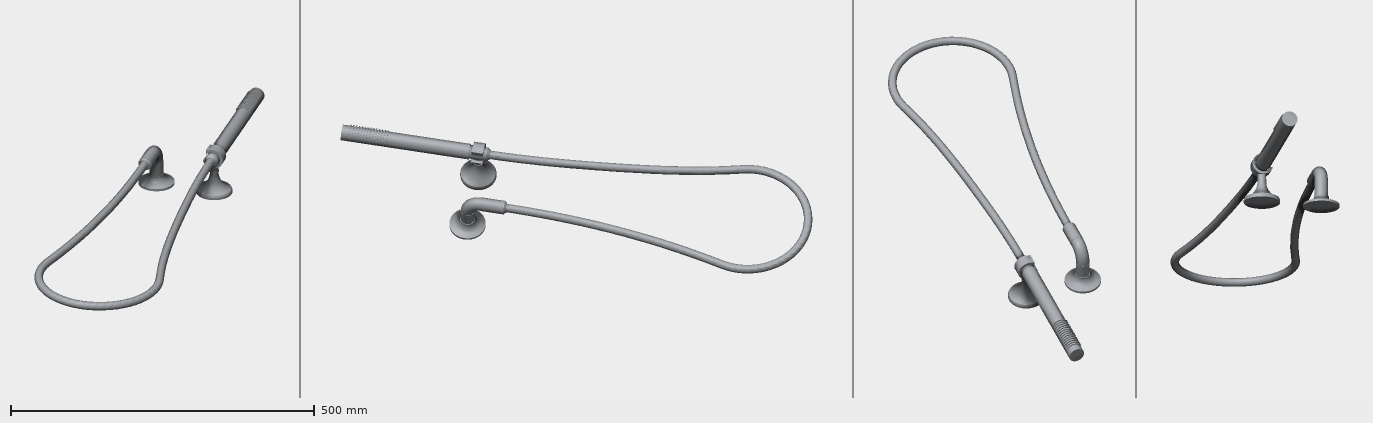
import cadquery as cq
import math

overall_width = 213.55
overall_length = 795.28
overall_height = 82.67

post_spacing = 100.0
post_x = post_spacing / 2
flange_radius = 30.0
flange_rim_height = 4.0

elbow_axis_z = 66.6
bend_radius = 24.0
bend_tube_radius = 11.0
elbow_tube_radius = 11.3
elbow_collar_length = 7.0
elbow_base_height = 18.0
base_step_radius = 20.6
base_step_height = 6.5
base_neck_height = 15.5
base_waist = (15.0, 10.2)
base_top_radius = 12.35

connector_length = 31.0
connector_nose_length = 3.0
connector_nose_radius = 8.25
connector_shoulder_step = 1.0
connector_start_y = -bend_radius - elbow_collar_length
connector_shoulder_y = connector_start_y - connector_length
connector_end_y = connector_shoulder_y - connector_nose_length

wand_axis_z = 65.2
wand_radius = 13.0
wand_tip_y = 228.4
wand_shoulder_y = 14.5
wand_neck_radius = 11.3
wand_neck_end_y = -14.5
wand_nose_end_y = -20.0
wand_nose_radius = 8.0

rib_count = 14
rib_pitch = 4.8
rib_width = 1.6
rib_height = 2.0
rib_first_offset = 12.0
rib_base_above_axis = 7.5

holder_post_height = 38.0
bell_top_height = 36.5
bell_foot_height = 7.0
holder_stem_radius = 7.2
bell_radius = 31.0
clamp_outer_radius = overall_height - wand_axis_z
clamp_bore_radius = 13.0
clamp_length = 19.0
clamp_stub_radius = 7.0
clamp_collar_radius = 8.0
clamp_collar_height = 2.0
clamp_upper_jaw_x = 10.8
clamp_lower_jaw_drop = 5.0
jaw_lip_length = 5.0
jaw_lip_below_top = 1.2
jaw_lip_thickness = 4.0

hose_radius = 7.0
loop_radius = overall_width / 2 - hose_radius
loop_bottom_y = wand_tip_y - overall_length
loop_center_y = loop_bottom_y + loop_radius + hose_radius
right_guide_x = post_x + 10.5
right_guide_y = -208.0
loop_drop = 0.5
loop_join_angle = math.radians(15)


def revolve_about_post(profile):
    """Revolve a half profile drawn as (radius, height) about the Z axis."""
    return profile.close().revolve(360, (0, 0, 0), (0, 1, 0))


def cylinder_along_y(radius, y_from, y_to, z):
    """Round bar parallel to Y from y_from down to y_to."""
    return cq.Workplane("XZ", origin=(0, y_from, z)).circle(radius).extrude(y_from - y_to)


def cone_along_y(radius_from, radius_to, y_from, y_to, z):
    """Tapered round bar parallel to Y from y_from down to y_to."""
    cone = cq.Solid.makeCone(
        radius_from, radius_to, y_from - y_to, cq.Vector(0, y_from, z), cq.Vector(0, -1, 0)
    )
    return cq.Workplane(cone)


def make_elbow_base():
    """Wall flange with a concave cone rising to the elbow tube."""
    profile = (
        cq.Workplane("XZ")
        .lineTo(flange_radius, 0)
        .lineTo(flange_radius, flange_rim_height)
        .lineTo(base_step_radius, base_step_height)
        .threePointArc(base_waist, (base_top_radius, base_neck_height))
        .lineTo(base_top_radius, elbow_base_height)
        .lineTo(0, elbow_base_height)
    )
    return revolve_about_post(profile).translate((-post_x, 0, 0))


def make_elbow():
    """Upright tube, quarter bend toward -Y and a short end collar."""
    bend_start_z = elbow_axis_z - bend_radius
    post = (
        cq.Workplane("XY", origin=(0, 0, elbow_base_height))
        .circle(elbow_tube_radius)
        .extrude(bend_start_z - elbow_base_height)
    )
    bend = (
        cq.Workplane("XY", origin=(0, 0, bend_start_z))
        .circle(bend_tube_radius)
        .revolve(90, (0, -bend_radius, 0), (1, -bend_radius, 0))
    )
    collar = cylinder_along_y(
        elbow_tube_radius, -bend_radius, -bend_radius - elbow_collar_length, elbow_axis_z
    )
    return post.union(bend).union(collar).translate((-post_x, 0, 0))


def make_connector():
    """Barrel with a tapered nose that meets the hose."""
    barrel = cylinder_along_y(
        elbow_tube_radius, connector_start_y, connector_shoulder_y, elbow_axis_z
    )
    nose = cone_along_y(
        elbow_tube_radius - connector_shoulder_step,
        connector_nose_radius,
        connector_shoulder_y,
        connector_end_y,
        elbow_axis_z,
    )
    return barrel.union(nose).translate((-post_x, 0, 0))


def make_wand():
    """Round hand shower with a neck, a tapered nose and grip ribs."""
    wand = cylinder_along_y(wand_radius, wand_tip_y, wand_shoulder_y, wand_axis_z)
    neck = cylinder_along_y(wand_neck_radius, wand_shoulder_y, wand_neck_end_y, wand_axis_z)
    nose = cone_along_y(
        wand_neck_radius, wand_nose_radius, wand_neck_end_y, wand_nose_end_y, wand_axis_z
    )
    wand = wand.union(neck).union(nose)
    rib_zone = cq.Workplane("XY", origin=(0, 0, wand_axis_z + rib_base_above_axis)).box(
        2 * wand_radius, 2 * wand_tip_y, wand_radius, centered=(True, True, False)
    )
    for i in range(rib_count):
        rib_y = wand_tip_y - rib_first_offset - i * rib_pitch
        rib = cylinder_along_y(wand_radius + rib_height, rib_y, rib_y - rib_width, wand_axis_z)
        wand = wand.union(rib.intersect(rib_zone))
    return wand.translate((post_x, 0, 0))


def make_holder_post():
    """Flange with a concave bell profile, tangent to a slim stem."""
    bell_center_r = holder_stem_radius + bell_radius
    bell_rise = bell_top_height - bell_foot_height
    foot_r = bell_center_r - math.sqrt(bell_radius**2 - bell_rise**2)
    mid_angle = math.asin(bell_rise / bell_radius) / 2
    bell_mid = (
        bell_center_r - bell_radius * math.cos(mid_angle),
        bell_top_height - bell_radius * math.sin(mid_angle),
    )
    profile = (
        cq.Workplane("XZ")
        .lineTo(flange_radius, 0)
        .lineTo(flange_radius, flange_rim_height)
        .lineTo(foot_r, bell_foot_height)
        .threePointArc(bell_mid, (holder_stem_radius, bell_top_height))
        .lineTo(holder_stem_radius, holder_post_height)
        .lineTo(0, holder_post_height)
    )
    return revolve_about_post(profile).translate((post_x, 0, 0))


def make_clamp():
    """C-shaped clamp open toward -X, on a stub with a thin collar."""
    half = clamp_length / 2
    ring = cylinder_along_y(clamp_outer_radius, half, -half, wand_axis_z)
    collar = (
        cq.Workplane("XY", origin=(0, 0, holder_post_height))
        .circle(clamp_collar_radius)
        .extrude(clamp_collar_height)
    )
    stub = (
        cq.Workplane("XY", origin=(0, 0, holder_post_height))
        .circle(clamp_stub_radius)
        .extrude(wand_axis_z - holder_post_height)
    )
    bore = cylinder_along_y(clamp_bore_radius, half, -half, wand_axis_z)
    mouth = cq.Workplane(
        "XY", origin=(-clamp_upper_jaw_x, 0, wand_axis_z - clamp_lower_jaw_drop)
    ).box(clamp_outer_radius, clamp_length, 2 * clamp_outer_radius, centered=(False, True, False))
    mouth = mouth.translate((-clamp_outer_radius, 0, 0))
    lip = cq.Workplane(
        "XY", origin=(-clamp_upper_jaw_x, 0, overall_height - jaw_lip_below_top - jaw_lip_thickness)
    ).box(jaw_lip_length, clamp_length, jaw_lip_thickness, centered=(False, True, False))
    return ring.union(lip).union(collar).union(stub).cut(bore).cut(mouth).translate((post_x, 0, 0))


def make_hose():
    """Hose from the connector, around the loop and back to the hand shower."""
    join_x = loop_radius * math.cos(loop_join_angle)
    join_y = loop_center_y + loop_radius * math.sin(loop_join_angle)
    slant_x = math.sin(loop_join_angle)
    slant_y = math.cos(loop_join_angle)
    connector_end = cq.Vector(-post_x, connector_end_y, elbow_axis_z)
    left_join = cq.Vector(-join_x, join_y, elbow_axis_z - loop_drop)
    loop_bottom = cq.Vector(0, loop_bottom_y + hose_radius, (elbow_axis_z + wand_axis_z) / 2 - loop_drop)
    right_join = cq.Vector(join_x, join_y, wand_axis_z - loop_drop)
    right_guide = cq.Vector(right_guide_x, right_guide_y, wand_axis_z - loop_drop / 2)
    wand_end = cq.Vector(post_x, wand_nose_end_y, wand_axis_z)
    away = cq.Vector(0, -1, 0)
    left_leg = cq.Edge.makeSpline(
        [connector_end, left_join], tangents=[away, cq.Vector(-slant_x, -slant_y, 0)]
    )
    loop = cq.Edge.makeThreePointArc(left_join, loop_bottom, right_join)
    right_leg = cq.Edge.makeSpline(
        [right_join, right_guide, wand_end], tangents=[cq.Vector(-slant_x, slant_y, 0), -away]
    )
    path = cq.Wire.assembleEdges([left_leg, loop, right_leg])
    return (
        cq.Workplane("XZ", origin=connector_end.toTuple())
        .circle(hose_radius)
        .sweep(cq.Workplane(path), transition="round")
    )


elbow_base = make_elbow_base()
elbow = make_elbow()
connector = make_connector()
hose = make_hose()
wand = make_wand()
holder_post = make_holder_post()
clamp = make_clamp()

result = cq.Compound.makeCompound(
    [
        elbow_base.val(),
        elbow.val(),
        connector.val(),
        hose.val(),
        wand.val(),
        holder_post.val(),
        clamp.val(),
    ]
)